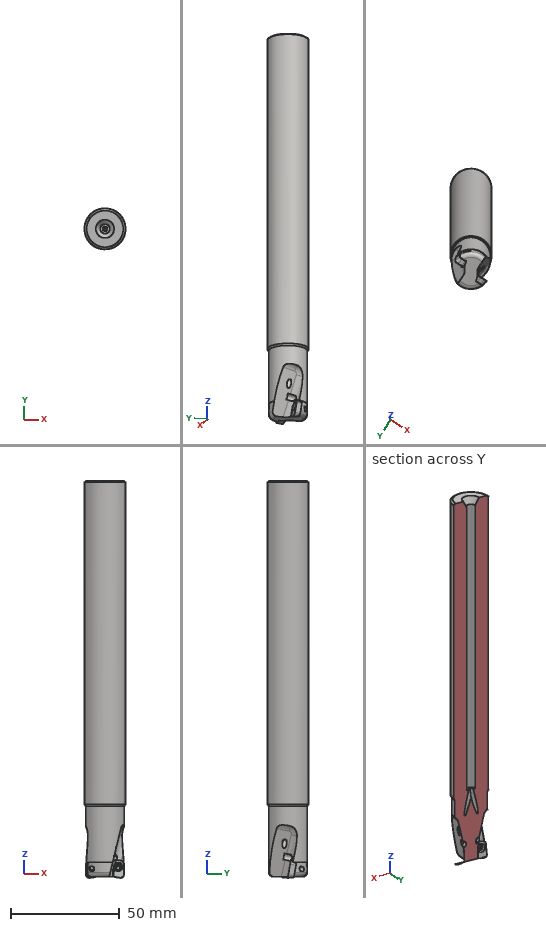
import cadquery as cq
import math

TOTAL_LENGTH = 183.0

SHANK_RADIUS = 9.5
NECK_RADIUS = 9.0
HEAD_RADIUS = 8.87
HOLDER_BOTTOM = 0.5
HEAD_TOP = 7.3
NECK_TOP = 33.1
NECK_SHOULDER_HEIGHT = 1.0
NOSE_RADIUS = 2.2
END_CHAMFER_RADIAL = 1.1
END_CHAMFER_AXIAL = 0.7

BORE_RADIUS = 2.2
BORE_MOUTH_RADIUS = 4.2
BORE_MOUTH_DEPTH = 3.5
BORE_END = 36.6
BRANCH_RADIUS = 1.0
BRANCH_EXIT = (5.7, -1.6, 15.5)
BRANCH_OVERRUN = 2.2

FLUTE_COUNT = 2
FLUTE_FLOOR_X = 1.8
FLUTE_FLOOR_ANGLE = 13.5
FLUTE_WALL_Y = 0.2
FLUTE_LEAN = 13.0
FLUTE_TOP = 25.2
FLUTE_END_RADIUS = 4.8
FLUTE_FLOOR_FILLET = 3.5
RAKE_ANGLE = 10.0
CLEARANCE = 18.3

INSERT_FACE_Y = -0.2
INSERT_INNER_X = 3.7
INSERT_OUTER_X = 8.8
INSERT_HEIGHT = 8.2
INSERT_SKEW = 0.7
INSERT_THICKNESS = 2.7
INSERT_CLEARANCE_ANGLE = 15.0
INSERT_CORNER_RADIUS = 1.6
SCREW_X = 6.0
SCREW_HEIGHT = 5.5
SCREW_HOLE_RADIUS = 1.1
SCREW_SEAT_RADIUS = 2.0
SCREW_SEAT_ANGLE = 60.0
SCREW_SEAT_DEPTH = 1.1
RELIEF_RADIUS = 1.5
RELIEF_INSET = 0.5
RELIEF_RISE = 0.7
RELIEF_REACH = 3.5

END_EDGE_SLOPE = INSERT_SKEW / (INSERT_OUTER_X - INSERT_INNER_X)
TIP_RISE = INSERT_CORNER_RADIUS * (END_EDGE_SLOPE + math.hypot(1, END_EDGE_SLOPE) - 1)


def insert_plane():
    """Plane of an insert's cutting face: x is radial, y runs up the face, z points out of it.

    It is lowered so that the rounded tip touches z = 0.
    """
    rake = math.radians(RAKE_ANGLE)
    return cq.Plane(
        origin=(0, INSERT_FACE_Y, -TIP_RISE * math.cos(rake)),
        xDir=(1, 0, 0),
        normal=(0, -math.cos(rake), math.sin(rake)),
    )


def place_around_axis(shape, index):
    """Turn a shape from the +X side to its place among the evenly spaced flutes."""
    return shape.rotate((0, 0, 0), (0, 0, 1), index * 360 / FLUTE_COUNT)


def make_blank():
    """Stepped round bar with a rounded nose and a chamfered shank end."""
    return (
        cq.Workplane("XZ")
        .moveTo(0, HOLDER_BOTTOM)
        .lineTo(HEAD_RADIUS - NOSE_RADIUS, HOLDER_BOTTOM)
        .radiusArc((HEAD_RADIUS, HOLDER_BOTTOM + NOSE_RADIUS), -NOSE_RADIUS)
        .lineTo(HEAD_RADIUS, HEAD_TOP)
        .lineTo(NECK_RADIUS, HEAD_TOP)
        .lineTo(NECK_RADIUS, NECK_TOP)
        .lineTo(SHANK_RADIUS, NECK_TOP + NECK_SHOULDER_HEIGHT)
        .lineTo(SHANK_RADIUS, TOTAL_LENGTH - END_CHAMFER_AXIAL)
        .lineTo(SHANK_RADIUS - END_CHAMFER_RADIAL, TOTAL_LENGTH)
        .lineTo(0, TOTAL_LENGTH)
        .close()
        .revolve(360, (0, 0), (0, 1))
    )


def make_coolant_bore():
    """Axial bore with a conical mouth in the shank end."""
    return (
        cq.Workplane("XZ")
        .moveTo(0, BORE_END)
        .lineTo(BORE_RADIUS, BORE_END)
        .lineTo(BORE_RADIUS, TOTAL_LENGTH - BORE_MOUTH_DEPTH)
        .lineTo(BORE_MOUTH_RADIUS, TOTAL_LENGTH)
        .lineTo(0, TOTAL_LENGTH)
        .close()
        .revolve(360, (0, 0), (0, 1))
    )


def make_coolant_branch():
    """Oblique hole from the end of the axial bore to the flute floor."""
    start = cq.Vector(0, 0, BORE_END)
    path = cq.Vector(*BRANCH_EXIT) - start
    return cq.Workplane(
        cq.Solid.makeCylinder(BRANCH_RADIUS, path.Length + BRANCH_OVERRUN, start, path)
    )


def make_flute():
    """Cutter for one flute: its floor deepens and its wall leans towards the cutting end."""
    flute = (
        cq.Workplane("XY")
        .box(CLEARANCE, CLEARANCE, FLUTE_TOP + CLEARANCE, centered=False)
        .translate((0, -CLEARANCE, -CLEARANCE))
        .edges(">Y and >Z")
        .fillet(FLUTE_END_RADIUS)
        .faces("<X")
        .edges(">Y")
        .fillet(FLUTE_FLOOR_FILLET)
    )
    return (
        flute.rotate((0, 0, 0), (1, 0, 0), -FLUTE_LEAN)
        .rotate((0, 0, 0), (0, 1, 0), FLUTE_FLOOR_ANGLE)
        .translate((FLUTE_FLOOR_X, FLUTE_WALL_Y, 0))
    )


def make_screw_hole(depth):
    """Hole square to the cutting face, shared by an insert and the holder behind it."""
    return (
        cq.Workplane(insert_plane())
        .center(SCREW_X, SCREW_HEIGHT)
        .circle(SCREW_HOLE_RADIUS)
        .extrude(-depth)
    )


def make_insert_pocket():
    """Seat whose back, inner and top faces fit the insert; it is open outwards and downwards.

    A round relief clears the insert's inner top corner and runs on into the flute floor.
    """
    outer_x = INSERT_OUTER_X + CLEARANCE
    seat = (
        cq.Workplane(insert_plane())
        .moveTo(INSERT_INNER_X, -CLEARANCE)
        .lineTo(outer_x, -CLEARANCE)
        .lineTo(outer_x, INSERT_HEIGHT - END_EDGE_SLOPE * CLEARANCE)
        .lineTo(INSERT_INNER_X, INSERT_HEIGHT + INSERT_SKEW)
        .close()
        .extrude(-INSERT_THICKNESS, taper=INSERT_CLEARANCE_ANGLE)
    )
    corner_relief = (
        cq.Workplane(insert_plane())
        .workplane(offset=RELIEF_REACH)
        .center(INSERT_INNER_X + RELIEF_INSET, INSERT_HEIGHT + INSERT_SKEW + RELIEF_RISE)
        .circle(RELIEF_RADIUS)
        .extrude(-RELIEF_REACH - INSERT_THICKNESS)
    )
    return seat.union(corner_relief)


def make_insert():
    """Skewed plate with relieved flanks, rounded corners and a countersunk screw hole."""
    outline = (
        cq.Sketch()
        .polygon(
            [
                (INSERT_INNER_X, INSERT_SKEW),
                (INSERT_OUTER_X, 0),
                (INSERT_OUTER_X, INSERT_HEIGHT),
                (INSERT_INNER_X, INSERT_HEIGHT + INSERT_SKEW),
                (INSERT_INNER_X, INSERT_SKEW),
            ]
        )
        .vertices()
        .fillet(INSERT_CORNER_RADIUS)
    )
    plate = (
        cq.Workplane(insert_plane())
        .placeSketch(outline)
        .extrude(-INSERT_THICKNESS, taper=INSERT_CLEARANCE_ANGLE)
    )
    screw_seat = (
        cq.Workplane(insert_plane())
        .center(SCREW_X, SCREW_HEIGHT)
        .circle(SCREW_SEAT_RADIUS)
        .extrude(-SCREW_SEAT_DEPTH, taper=SCREW_SEAT_ANGLE / 2)
    )
    return plate.cut(make_screw_hole(INSERT_THICKNESS)).cut(screw_seat)


def make_holder():
    """Holder body with its coolant passages, flutes, insert pockets and screw holes."""
    holder = make_blank().cut(make_coolant_bore())
    for cutter in (make_flute(), make_insert_pocket(), make_screw_hole(CLEARANCE), make_coolant_branch()):
        for index in range(FLUTE_COUNT):
            holder = holder.cut(place_around_axis(cutter, index))
    return holder


holder = make_holder()
insert = make_insert()
inserts = [place_around_axis(insert, index).val() for index in range(FLUTE_COUNT)]

result = cq.Compound.makeCompound([holder.val(), *inserts])